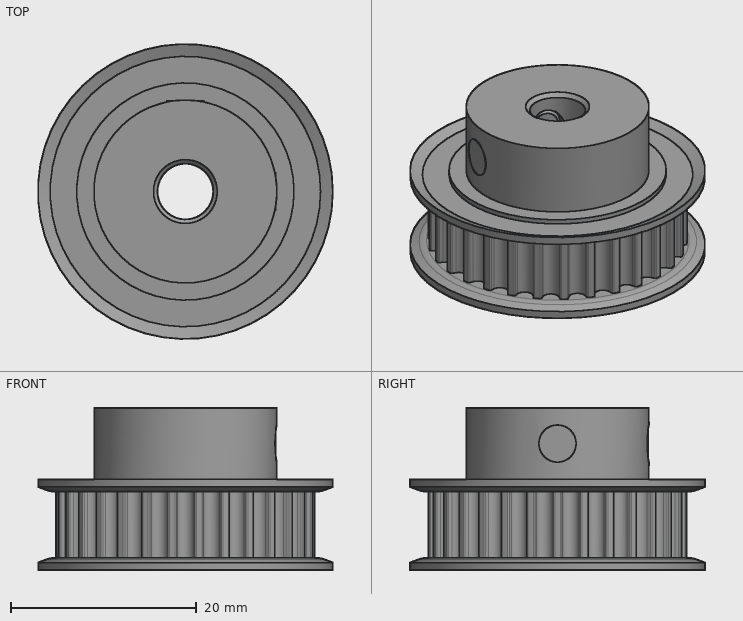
import cadquery as cq
import math

total_height = 17.5
pulley_width = 9.8
hub_radius = 9.85
core_radius = 11.7

flange_radius = 15.9
flange_thickness = 0.83
bend_radius_position = 14.55
dish_rise = 0.5
bend_fillet = 2.23

tooth_count = 30
tip_radius = 13.95
groove_depth = 1.2
groove_radius = 0.92
flank_tilt = 16.0
tip_fillet = 0.15

bore_radius = 3.0
bore_chamfer = 0.45

screw_radius = 2.0
screw_tip_position = 3.02
screw_end_chamfer = 0.4
screw_recess = 0.1

belt_face = dish_rise + flange_thickness
tooth_length = pulley_width - 2 * belt_face


def cylinder(radius, bottom, height):
    return cq.Workplane("XY").workplane(offset=bottom).circle(radius).extrude(height)


def bottom_flange():
    """Flat ring with a conical rim leaning downwards, rounded at the bend on its upper side."""
    rim_angle = math.atan2(dish_rise, flange_radius - bend_radius_position)
    tangent = bend_fillet * math.tan(rim_angle / 2)
    half_angle = rim_angle / 2
    arc_center = (bend_radius_position - tangent, belt_face - bend_fillet)
    arc_middle = (
        arc_center[0] + bend_fillet * math.sin(half_angle),
        arc_center[1] + bend_fillet * math.cos(half_angle),
    )
    arc_end = (
        arc_center[0] + bend_fillet * math.sin(rim_angle),
        arc_center[1] + bend_fillet * math.cos(rim_angle),
    )
    return (
        cq.Workplane("XZ")
        .moveTo(0, dish_rise)
        .lineTo(bend_radius_position, dish_rise)
        .lineTo(flange_radius, 0)
        .lineTo(flange_radius, flange_thickness)
        .lineTo(*arc_end)
        .threePointArc(arc_middle, (arc_center[0], belt_face))
        .lineTo(0, belt_face)
        .close()
        .revolve(360, (0, 0, 0), (0, 1, 0))
    )


def groove_cutter():
    """One belt groove at -Y: round floor, slightly opening flanks and rounded tooth tips."""
    flank_angle = math.radians(flank_tilt)
    flank_x, flank_y = math.sin(flank_angle), math.cos(flank_angle)
    floor_center = tip_radius - groove_depth + groove_radius

    floor_end_x = groove_radius * flank_y
    floor_end_y = floor_center - groove_radius * flank_x
    start_x = (groove_radius + tip_fillet) * flank_y
    start_y = floor_center - (groove_radius + tip_fillet) * flank_x

    fillet_distance = tip_radius - tip_fillet
    along = start_x * flank_x + start_y * flank_y
    slide = math.sqrt(along**2 - start_x**2 - start_y**2 + fillet_distance**2) - along
    fillet_x = start_x + slide * flank_x
    fillet_y = start_y + slide * flank_y
    flank_end_x = fillet_x - tip_fillet * flank_y
    flank_end_y = fillet_y + tip_fillet * flank_x
    tip_x = fillet_x * tip_radius / fillet_distance
    tip_y = fillet_y * tip_radius / fillet_distance

    middle_angle = (math.pi - flank_angle + math.atan2(fillet_y, fillet_x)) / 2
    middle_x = fillet_x + tip_fillet * math.cos(middle_angle)
    middle_y = fillet_y + tip_fillet * math.sin(middle_angle)
    return (
        cq.Workplane("XY")
        .workplane(offset=belt_face)
        .moveTo(-tip_x, -flange_radius)
        .lineTo(-tip_x, -tip_y)
        .threePointArc((-middle_x, -middle_y), (-flank_end_x, -flank_end_y))
        .lineTo(-floor_end_x, -floor_end_y)
        .threePointArc((0, groove_depth - tip_radius), (floor_end_x, -floor_end_y))
        .lineTo(flank_end_x, -flank_end_y)
        .threePointArc((middle_x, -middle_y), (tip_x, -tip_y))
        .lineTo(tip_x, -flange_radius)
        .close()
        .extrude(tooth_length)
    )


def toothed_ring():
    ring = cylinder(tip_radius, belt_face, tooth_length)
    cutter = groove_cutter()
    for index in range(tooth_count):
        ring = ring.cut(cutter.rotate((0, 0, 0), (0, 0, 1), index * 360 / tooth_count))
    return ring


def screw_cylinder(start, end):
    """Cylinder along +X at mid height of the hub, between two distances from the bore axis."""
    return (
        cq.Workplane("YZ")
        .workplane(offset=start)
        .center(0, (pulley_width + total_height) / 2)
        .circle(screw_radius)
        .extrude(end - start)
    )


def set_screw():
    """Plain screw body, chamfered at its tip and nearly flush with the hub outside."""
    screw = screw_cylinder(screw_tip_position, hub_radius - screw_recess)
    return screw.faces("<X").chamfer(screw_end_chamfer)


def bore_with_chamfers():
    """Through bore, chamfered at both mouths."""
    mouth = cq.Workplane("XY").add(
        cq.Solid.makeCone(bore_radius + bore_chamfer, bore_radius, bore_chamfer)
    )
    upper_mouth = mouth.mirror("XY", (0, 0, total_height / 2))
    return cylinder(bore_radius, 0, total_height).union(mouth).union(upper_mouth)


lower_flange = bottom_flange()
upper_flange = lower_flange.mirror("XY", (0, 0, pulley_width / 2))
body = toothed_ring().union(lower_flange).union(upper_flange)
body = body.union(cylinder(core_radius, 0, pulley_width))
body = body.union(cylinder(hub_radius, 0, total_height))
body = body.cut(bore_with_chamfers())

screw_hole = screw_cylinder(0, hub_radius)
screw = set_screw()
for angle in (0, 90):
    body = body.cut(screw_hole.rotate((0, 0, 0), (0, 0, 1), angle))
    body = body.union(screw.rotate((0, 0, 0), (0, 0, 1), angle))

result = body